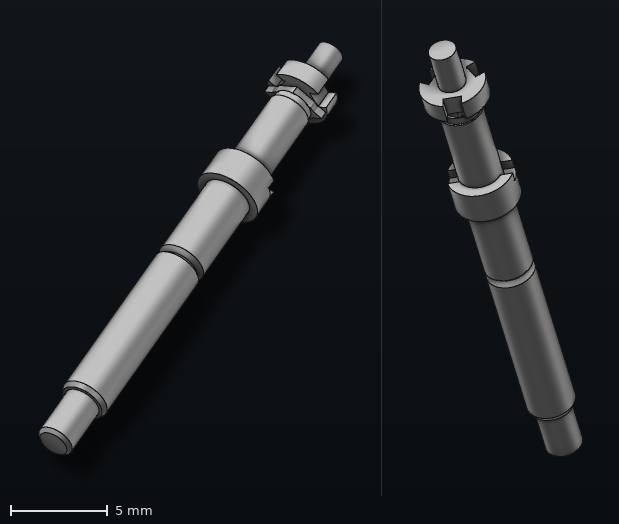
import cadquery as cq
import math

length = 28.7
tip_y = length / 2

crown_start = 2.35
crown_end = 3.45
key_end = 3.9
neck_end = 4.33
collar_start = 8.85
collar_end = 10.68
groove_start = 15.45
groove_width = 0.52
body_end = 25.72

plunger_radius = 0.75
crown_radius = 1.78
collar_diameter = 3.6
collar_radius = collar_diameter / 2
neck_diameter = 2.15
neck_radius = neck_diameter / 2
barrel_radius = 1.18
body_radius = 1.32
tail_radius = 1.0

groove_depth = 0.25
body_chamfer_length = 0.3
body_chamfer_depth = 0.15
tail_chamfer = 0.2

notch_width = 0.98
crown_notch_floor = 1.15
crown_notch_angles = (30, 150, 270)
collar_slot_depth = 0.55
notch_reach = 2 * collar_radius

key_width = 3.42
key_tip = key_width / 2
key_slope = math.tan(math.radians(30))
step_top_x = 1.05
step_bottom_x = 1.23


def make_shaft():
    """Revolve the half outline, listed as (radius, distance from the tip), about the Y axis."""
    shoulders = [
        (0, 0),
        (plunger_radius, 0),
        (plunger_radius, crown_start),
        (crown_radius, crown_start),
        (crown_radius, crown_end),
        (plunger_radius, crown_end),
        (plunger_radius, key_end),
        (neck_radius, key_end),
        (neck_radius, neck_end),
        (barrel_radius, neck_end),
        (barrel_radius, collar_start),
        (collar_radius, collar_start),
        (collar_radius, collar_end),
        (body_radius, collar_end),
        (body_radius, groove_start),
        (body_radius - groove_depth, groove_start + groove_width / 2),
        (body_radius, groove_start + groove_width),
        (body_radius, body_end - body_chamfer_length),
        (body_radius - body_chamfer_depth, body_end),
        (tail_radius, body_end),
        (tail_radius, length - tail_chamfer),
        (tail_radius - tail_chamfer, length),
        (0, length),
    ]
    outline = [(radius, tip_y - distance) for radius, distance in shoulders]
    return cq.Workplane("XY").polyline(outline).close().revolve(360, (0, 0), (0, 1))


def make_key():
    """Flat diamond with a step on each flank, symmetric about X and Z."""
    quarter = [
        (0, neck_radius),
        (step_top_x, neck_radius - step_top_x * key_slope),
        (step_bottom_x, (key_tip - step_bottom_x) * key_slope),
        (key_tip, 0),
    ]
    upper = [(-x, z) for x, z in reversed(quarter)] + quarter[1:]
    lower = [(x, -z) for x, z in reversed(upper[1:-1])]
    return (
        cq.Workplane("XZ", origin=(0, tip_y - crown_end, 0))
        .polyline(upper + lower)
        .close()
        .extrude(key_end - crown_end)
    )


def make_notch(angle, floor, start, end):
    """Parallel-sided cutter from the floor radius outwards, at an angle from +X towards +Z."""
    return (
        cq.Workplane("XY")
        .box(notch_reach, end - start, notch_width, centered=(False, False, True))
        .translate((floor, tip_y - end, 0))
        .rotate((0, 0, 0), (0, 1, 0), -angle)
    )


result = make_shaft()

for notch_angle in crown_notch_angles:
    result = result.cut(make_notch(notch_angle, crown_notch_floor, crown_start, crown_end))

slot_end = collar_start + collar_slot_depth
slots = make_notch(0, 0, collar_start, slot_end).union(make_notch(180, 0, collar_start, slot_end))
barrel_core = (
    cq.Workplane("XZ", origin=(0, tip_y - collar_start, 0))
    .circle(barrel_radius)
    .extrude(collar_slot_depth)
)
result = result.cut(slots.cut(barrel_core))

result = result.union(make_key())